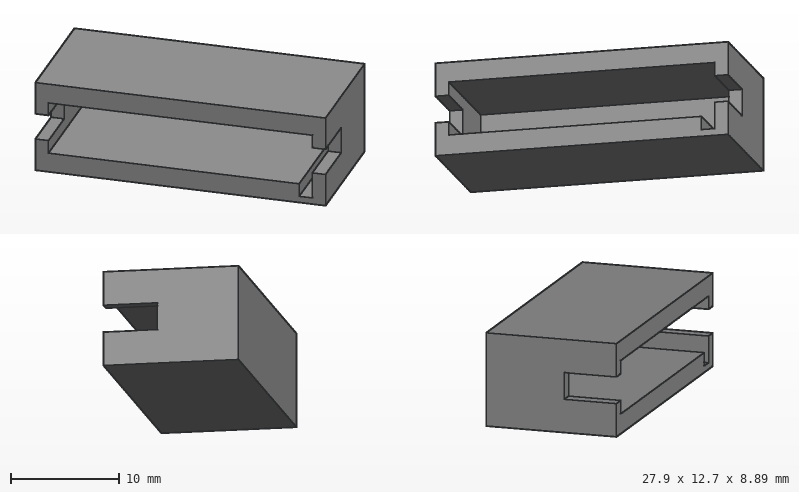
import cadquery as cq

length = 27.95
module = length / 22
depth = 10 * module
height = 7 * module

side_wall = module
floor_thickness = 1.5 * module
cavity_height = 4 * module
cavity_depth = 9 * module

key_width = module
key_drop = module

slot_height = 2 * module
slot_depth = 4 * module
slot_bottom = 2.5 * module


def front_cut(x_start, z_start, width, cut_height, cut_depth):
    """Box reaching back from the front face, placed by its lower -X corner."""
    return cq.Workplane("XY").box(width, cut_depth, cut_height, centered=False).translate(
        (x_start, 0, z_start)
    )


block = cq.Workplane("XY").box(length, depth, height, centered=False)
cavity = front_cut(side_wall, floor_thickness, length - 2 * side_wall, cavity_height, cavity_depth)
keyway = front_cut(
    length - side_wall - key_width, floor_thickness - key_drop, key_width, key_drop, cavity_depth
)
side_slots = front_cut(0, slot_bottom, length, slot_height, slot_depth)

result = block.cut(cavity).cut(keyway).cut(side_slots)